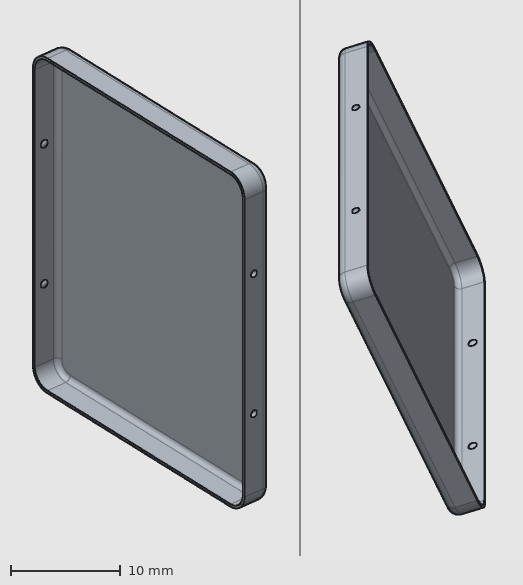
import cadquery as cq

width = 29.7
depth = 3.0
height = 35.9

wall = 0.3
corner_radius = 2.0
back_edge_radius = 0.83

dimple_radius = 0.35
bump_radius = 0.5
dimple_spacing = 15.0
dimple_from_rim = 1.1

rim_y = -depth / 2


def rounded_block(inset, block_depth):
    """Block from the rim toward +Y, inset all round, with a rounded back edge."""
    return (
        cq.Workplane("XZ", origin=(0, rim_y, 0))
        .rect(width - 2 * inset, height - 2 * inset)
        .extrude(-block_depth)
        .edges("|Y")
        .fillet(corner_radius - inset)
        .faces(">Y")
        .edges()
        .fillet(back_edge_radius - inset)
    )


def wall_domes(radius):
    """Half balls bulging inward from the outer side faces, one at every dimple."""
    left_domes = cq.Workplane("XY")
    for end in (-1, 1):
        center = (-width / 2, rim_y + dimple_from_rim, end * dimple_spacing / 2)
        dome = (
            cq.Workplane("XY", origin=center)
            .lineTo(0, -radius)
            .radiusArc((radius, 0), -radius)
            .close()
            .revolve(360, (0, 0), (1, 0))
        )
        left_domes = left_domes.union(dome)
    return left_domes.union(left_domes.mirror("YZ"))


outer = rounded_block(0, depth)
cavity = rounded_block(wall, depth - wall)
tray = outer.cut(cavity)

bumps = wall_domes(bump_radius)
result = tray.union(bumps).cut(wall_domes(dimple_radius))